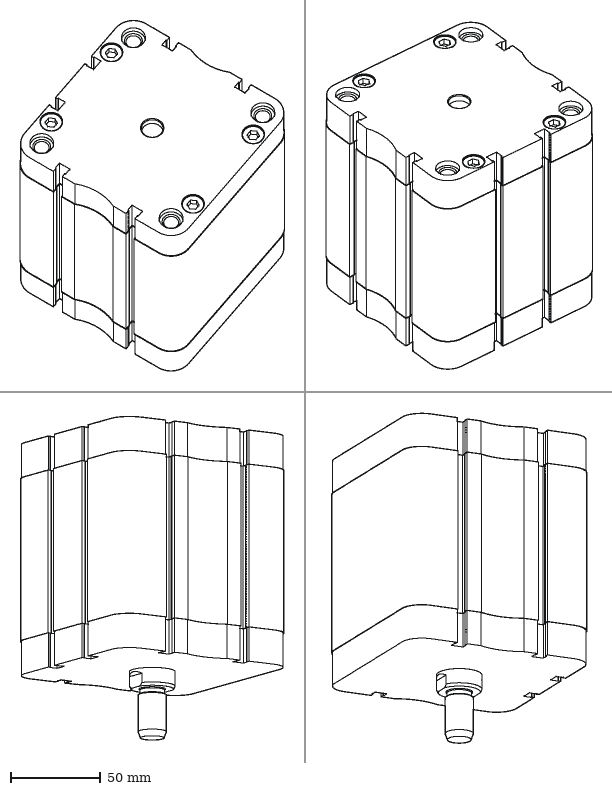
import cadquery as cq
import math

TOTAL_LENGTH = 170.0
BODY_WIDTH = 113.5
BODY_HEIGHT = 132.1
CAP_HEIGHT = 19.5
BARREL_HEIGHT = BODY_HEIGHT - 2 * CAP_HEIGHT
CORNER_RADIUS = 12.0
CAP_INSET = 0.3

SLOT_NECK = 5.5
SLOT_WIDTH = 6.5
FRONT_SLOT_DEPTH = 6.6
FRONT_SLOT_OFFSET = 25.0
FRONT_SLOT_LIP = 3.4
SIDE_SLOT_DEPTH = 6.3
SIDE_SLOT_OFFSET = 17.3
SIDE_SLOT_LIP = 2.2

HOLLOW_CHORD = 26.5
HOLLOW_DEPTH = 2.9

MOUNT_OFFSET = 44.5
MOUNT_BORE = 8.3
MOUNT_CHAMFER_DIAMETER = 10.0
MOUNT_RECESS_DIAMETER = 13.5
MOUNT_RECESS_DEPTH = 3.2

SCREW_X = 48.8
SCREW_Y = 29.2
SCREW_RECESS_DIAMETER = 12.0
SCREW_RIM_DIAMETER = 12.8
SCREW_RECESS_DEPTH = 0.8
HEX_ACROSS_FLATS = 6.0
HEX_DEPTH = 3.4

CENTRE_DIAMETER = 12.0
CENTRE_RIM_DIAMETER = 13.1
CENTRE_DEPTH = 4.0

ROD_DIAMETER = 25.7
ROD_PROJECTION = 10.0
ROD_END_DIAMETER = 24.0
ROD_CHAMFER_LENGTH = 1.7
ROD_FLATS = 22.3
FLAT_SHOULDER = 3.0
UNDERCUT_DIAMETER = 14.0
UNDERCUT_LENGTH = 2.7
UNDERCUT_ROOT = 0.5
UNDERCUT_SHOULDER = 0.7
THREAD_DIAMETER = 16.0
THREAD_TIP_DIAMETER = 13.5
THREAD_TIP_LENGTH = 3.5


def t_slot(edge, depth, lip, inset, height):
    """Cutter for a T-slot entering the -Y face at Y = -edge."""
    outer_face = BODY_WIDTH / 2
    floor = outer_face - depth - inset
    lip_end = outer_face - lip + inset
    neck = cq.Workplane("XY").box(
        SLOT_NECK + 2 * inset, edge - floor, height, centered=(True, False, False)
    ).translate((0, -edge, 0))
    wide = cq.Workplane("XY").box(
        SLOT_WIDTH + 2 * inset, lip_end - floor, height, centered=(True, False, False)
    ).translate((0, -lip_end, 0))
    return neck.union(wide)


def profile_block(height, inset):
    """Slotted, hollowed square block standing on Z = 0."""
    edge = BODY_WIDTH / 2 - inset
    block = cq.Workplane("XY").box(2 * edge, 2 * edge, height, centered=(True, True, False))
    block = block.edges("|Z").fillet(CORNER_RADIUS)

    front_slot = t_slot(edge, FRONT_SLOT_DEPTH, FRONT_SLOT_LIP, inset, height)
    side_slot = t_slot(edge, SIDE_SLOT_DEPTH, SIDE_SLOT_LIP, inset, height)
    side_slot = side_slot.rotate((0, 0, 0), (0, 0, 1), -90)
    hollow_radius = (HOLLOW_CHORD ** 2 / 4 + HOLLOW_DEPTH ** 2) / (2 * HOLLOW_DEPTH)
    hollow_axis = BODY_WIDTH / 2 - HOLLOW_DEPTH + hollow_radius
    hollow = cq.Workplane("XY").circle(hollow_radius + inset).extrude(height)

    for side in (-1, 1):
        turn = 0 if side < 0 else 180
        facing_slot = front_slot.rotate((0, 0, 0), (0, 0, 1), turn)
        for offset in (-FRONT_SLOT_OFFSET, FRONT_SLOT_OFFSET):
            block = block.cut(facing_slot.translate((offset, 0, 0)))
        block = block.cut(side_slot.translate((0, side * SIDE_SLOT_OFFSET, 0)))
        block = block.cut(hollow.translate((0, side * hollow_axis, 0)))
    return block


def make_barrel():
    return profile_block(BARREL_HEIGHT, 0).translate((0, 0, CAP_HEIGHT))


def make_bearing_cap():
    bore = cq.Workplane("XY").circle(ROD_DIAMETER / 2).extrude(CAP_HEIGHT)
    return profile_block(CAP_HEIGHT, CAP_INSET).cut(bore)


def turned(points):
    """Solid of revolution about Z from (radius, z) points."""
    return cq.Workplane("XZ").polyline(points).close().revolve(360, (0, 0, 0), (0, 1, 0))


def rimmed_hole(diameter, rim_diameter, depth):
    """Cutter for a flat-bottomed hole with a chamfered rim, opening at the top face."""
    radius = diameter / 2
    rim_radius = rim_diameter / 2
    rim_chamfer = rim_radius - radius
    return turned([
        (0, BODY_HEIGHT),
        (rim_radius, BODY_HEIGHT),
        (radius, BODY_HEIGHT - rim_chamfer),
        (radius, BODY_HEIGHT - depth),
        (0, BODY_HEIGHT - depth),
    ])


def mounting_hole():
    """Cutter for a recessed hole through the end cap with a countersunk bore."""
    recess_floor = BODY_HEIGHT - MOUNT_RECESS_DEPTH
    chamfer = (MOUNT_CHAMFER_DIAMETER - MOUNT_BORE) / 2
    cap_base = BODY_HEIGHT - CAP_HEIGHT
    return turned([
        (0, BODY_HEIGHT),
        (MOUNT_RECESS_DIAMETER / 2, BODY_HEIGHT),
        (MOUNT_RECESS_DIAMETER / 2, recess_floor),
        (MOUNT_CHAMFER_DIAMETER / 2, recess_floor),
        (MOUNT_BORE / 2, recess_floor - chamfer),
        (MOUNT_BORE / 2, cap_base),
        (0, cap_base),
    ])


def screw_recess():
    """Cutter for a shallow recess down to the screw head and its hexagon socket."""
    head_top = BODY_HEIGHT - SCREW_RECESS_DEPTH
    hex_across_corners = HEX_ACROSS_FLATS / math.cos(math.pi / 6)
    socket = cq.Workplane("XY").polygon(6, hex_across_corners).extrude(HEX_DEPTH)
    socket = socket.rotate((0, 0, 0), (0, 0, 1), 90).translate((0, 0, head_top - HEX_DEPTH))
    return rimmed_hole(SCREW_RECESS_DIAMETER, SCREW_RIM_DIAMETER, SCREW_RECESS_DEPTH).union(socket)


def make_end_cap():
    cap = profile_block(CAP_HEIGHT, CAP_INSET).translate((0, 0, BODY_HEIGHT - CAP_HEIGHT))
    cap = cap.cut(rimmed_hole(CENTRE_DIAMETER, CENTRE_RIM_DIAMETER, CENTRE_DEPTH))
    mount = mounting_hole()
    screw = screw_recess()
    for x_side in (-1, 1):
        for y_side in (-1, 1):
            cap = cap.cut(mount.translate((x_side * MOUNT_OFFSET, y_side * MOUNT_OFFSET, 0)))
            cap = cap.cut(screw.translate((x_side * SCREW_X, y_side * SCREW_Y, 0)))
    return cap


def make_piston_rod():
    """Rod from the barrel through the bearing cap, with wrench flats and a threaded stud."""
    tip = BODY_HEIGHT - TOTAL_LENGTH
    rod_radius = ROD_DIAMETER / 2
    undercut_radius = UNDERCUT_DIAMETER / 2
    thread_radius = THREAD_DIAMETER / 2
    undercut_end = -ROD_PROJECTION - UNDERCUT_LENGTH
    thread_start = undercut_end - UNDERCUT_SHOULDER
    rod = turned([
        (0, CAP_HEIGHT),
        (rod_radius, CAP_HEIGHT),
        (rod_radius, -ROD_PROJECTION + ROD_CHAMFER_LENGTH),
        (ROD_END_DIAMETER / 2, -ROD_PROJECTION),
        (undercut_radius + UNDERCUT_ROOT, -ROD_PROJECTION),
        (undercut_radius, -ROD_PROJECTION - UNDERCUT_ROOT),
        (undercut_radius, undercut_end),
        (thread_radius, thread_start),
        (thread_radius, tip + THREAD_TIP_LENGTH),
        (THREAD_TIP_DIAMETER / 2, tip),
        (0, tip),
    ])

    flat_x = ROD_FLATS / 2
    flat_cutter = (
        cq.Workplane("XZ")
        .polyline([
            (flat_x, -ROD_PROJECTION),
            (flat_x, -FLAT_SHOULDER),
            (rod_radius, -FLAT_SHOULDER + rod_radius - flat_x),
            (rod_radius, -ROD_PROJECTION),
        ])
        .close()
        .extrude(rod_radius, both=True)
    )
    return rod.cut(flat_cutter).cut(flat_cutter.mirror("YZ"))


barrel = make_barrel()
bearing_cap = make_bearing_cap()
end_cap = make_end_cap()
piston_rod = make_piston_rod()

result = cq.Compound.makeCompound([
    barrel.val(),
    bearing_cap.val(),
    end_cap.val(),
    piston_rod.val(),
])